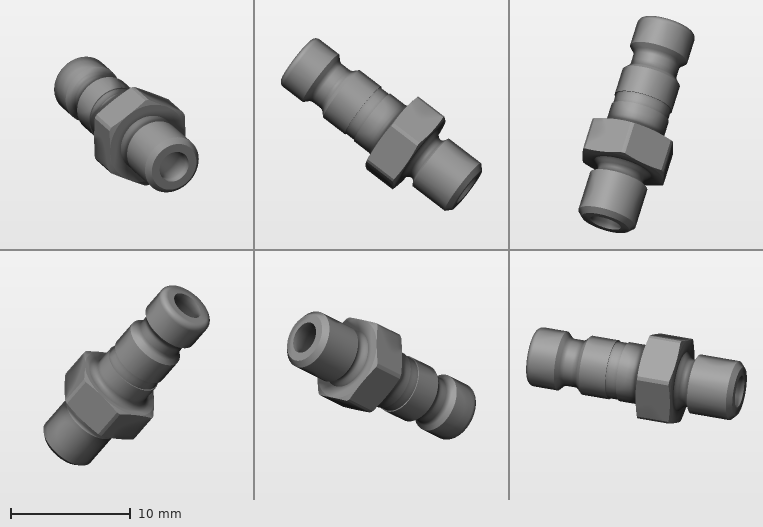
import cadquery as cq
import math

length = 18
body_radius = 5.0 / 2
bore_diameter = 2.7
nose_fillet = 0.5
end_chamfer = 0.43

groove_start = 2.55
groove_end = 4.73
groove_radius = 4.0 / 2
groove_blend = 0.5

band_start = 7.02
band_end = 7.97
band_radius = 4.8 / 2

hex_start = 9.99
hex_width = 3.0
hex_end = hex_start + hex_width
hex_across_flats = 7.0
hex_corner_diameter = 7.9
hex_chamfer_angle = math.radians(15)
collar_fillet = 0.5

relief_blend = 0.4
relief_exit_angle = math.radians(60)

slope = math.sqrt(0.5)


def blend_point(center_x, radius, floor_radius, angle):
    """Point on a concave blend, at an angle from its lowest point."""
    return (
        center_x + radius * math.sin(angle),
        floor_radius + radius * (1 - math.cos(angle)),
    )


def make_body():
    """Revolve the stepped outline into a solid body without the hexagon."""
    steep = math.radians(45)
    flank_run = body_radius - groove_radius - groove_blend * (1 - slope)
    flank_to_floor = flank_run + groove_blend * slope
    floor_start = groove_start + flank_to_floor
    floor_end = groove_end - flank_to_floor

    relief_drop = body_radius - groove_radius - relief_blend * (1 - slope)
    relief_center = hex_end + relief_drop + relief_blend * slope
    relief_entry = blend_point(relief_center, relief_blend, groove_radius, -steep)
    relief_exit = blend_point(relief_center, relief_blend, groove_radius, relief_exit_angle)
    relief_end = relief_exit[0] + (body_radius - relief_exit[1]) / math.tan(relief_exit_angle)

    return (
        cq.Workplane("XY")
        .moveTo(0, 0)
        .lineTo(0, body_radius - nose_fillet)
        .threePointArc(
            (nose_fillet * (1 - slope), body_radius - nose_fillet * (1 - slope)),
            (nose_fillet, body_radius),
        )
        .lineTo(groove_start, body_radius)
        .lineTo(groove_start + flank_run, body_radius - flank_run)
        .threePointArc(
            blend_point(floor_start, groove_blend, groove_radius, -steep / 2),
            (floor_start, groove_radius),
        )
        .lineTo(floor_end, groove_radius)
        .threePointArc(
            blend_point(floor_end, groove_blend, groove_radius, steep / 2),
            (groove_end - flank_run, body_radius - flank_run),
        )
        .lineTo(groove_end, body_radius)
        .lineTo(band_start, body_radius)
        .lineTo(band_start, band_radius)
        .lineTo(band_end, band_radius)
        .lineTo(band_end, body_radius)
        .lineTo(hex_start - collar_fillet, body_radius)
        .threePointArc(
            blend_point(hex_start - collar_fillet, collar_fillet, body_radius, steep),
            (hex_start, body_radius + collar_fillet),
        )
        .lineTo(hex_end, body_radius + collar_fillet)
        .lineTo(hex_end, body_radius)
        .lineTo(*relief_entry)
        .threePointArc((relief_center, groove_radius), relief_exit)
        .lineTo(relief_end, body_radius)
        .lineTo(length - end_chamfer, body_radius)
        .lineTo(length, body_radius - end_chamfer)
        .lineTo(length, 0)
        .close()
        .revolve(360, (0, 0, 0), (1, 0, 0))
    )


def make_hexagon():
    """Hexagon with corners up and down, trimmed by a chamfered cylinder."""
    flat_radius = hex_across_flats / 2
    corner_radius = hex_corner_diameter / 2
    chamfer_width = (corner_radius - flat_radius) * math.tan(hex_chamfer_angle)
    prism = (
        cq.Workplane("YZ", origin=(hex_start, 0, 0))
        .polygon(6, hex_across_flats, circumscribed=True)
        .extrude(hex_width)
    )
    envelope = (
        cq.Workplane("XY")
        .moveTo(hex_start, 0)
        .lineTo(hex_start, flat_radius)
        .lineTo(hex_start + chamfer_width, corner_radius)
        .lineTo(hex_end - chamfer_width, corner_radius)
        .lineTo(hex_end, flat_radius)
        .lineTo(hex_end, 0)
        .close()
        .revolve(360, (0, 0, 0), (1, 0, 0))
    )
    return prism.intersect(envelope)


bore = cq.Workplane("YZ").circle(bore_diameter / 2).extrude(length)
result = make_body().union(make_hexagon()).cut(bore)